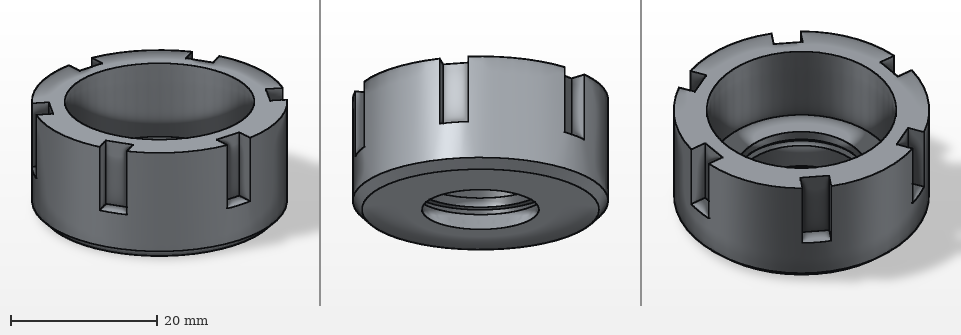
import cadquery as cq

outer_diameter = 35.0
height = 16.0
bottom_chamfer = 1.25

bore_diameter = 25.97
bore_depth = 11.0
hole_diameter = 16.0

lip_diameter = 18.48
lip_thickness = 1.33
groove_diameter = 20.65
groove_height = 1.1

slot_count = 6
slot_width = 4.0
slot_height = 9.5
slot_floor_radius = 15.0

outer_radius = outer_diameter / 2
floor_z = height - bore_depth
groove_top_z = floor_z - lip_thickness
groove_bottom_z = groove_top_z - groove_height


def ring_body():
    """Revolve the half section of the ring about Z."""
    section = [
        (hole_diameter / 2, 0),
        (outer_radius - bottom_chamfer, 0),
        (outer_radius, bottom_chamfer),
        (outer_radius, height),
        (bore_diameter / 2, height),
        (bore_diameter / 2, floor_z),
        (lip_diameter / 2, floor_z),
        (lip_diameter / 2, groove_top_z),
        (groove_diameter / 2, groove_top_z),
        (groove_diameter / 2, groove_bottom_z),
        (lip_diameter / 2, groove_bottom_z),
    ]
    return cq.Workplane("XZ").polyline(section).close().revolve(360, (0, 0), (0, 1))


def spanner_slots():
    """Flat-bottomed cutters spaced evenly around the rim, starting on +X."""
    return (
        cq.Workplane("XY", origin=(0, 0, height - slot_height))
        .polarArray(slot_floor_radius + outer_radius / 2, 0, 360, slot_count)
        .rect(outer_radius, slot_width)
        .extrude(slot_height)
    )


result = ring_body().cut(spanner_slots())